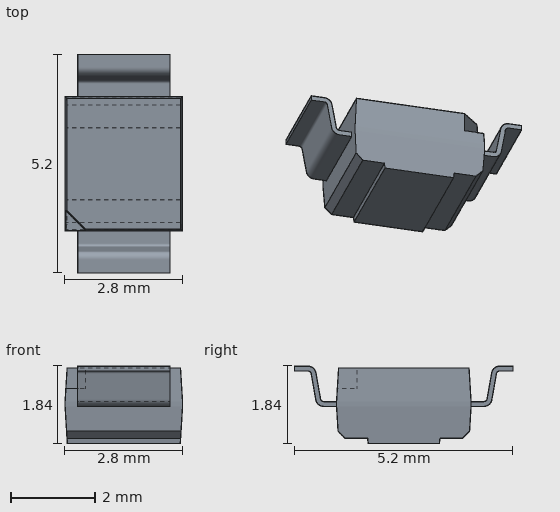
import cadquery as cq
import math

body_x = 2.8
body_y = 3.205
body_top = 1.8
belt_bottom = 0.88
lead_thickness = 0.12
belt_top = belt_bottom + lead_thickness
draft_angle = 3.5
draft_slope = math.tan(math.radians(draft_angle))

step_height = 0.125
foot_half_bottom = 0.85
foot_half_top = 0.865
bevel_start_y = 1.4
bevel_angle = 45

notch_floor = 1.31
notch_end_y = -1.115
notch_overrun = 0.26

lead_span = 5.2
lead_width = 2.2
lead_top = 1.84
shank_lean = 10
shank_mid_y = 2.09
bend_inner_radius = 0.08


def make_body():
    """Belt and drafted halves with the stepped, bevelled underside."""
    belt = cq.Workplane("XY").workplane(offset=belt_bottom).rect(body_x, body_y).extrude(lead_thickness)
    upper = (
        cq.Workplane("XY").workplane(offset=belt_top).rect(body_x, body_y)
        .extrude(body_top - belt_top, taper=draft_angle)
    )
    lower = (
        cq.Workplane("XY").workplane(offset=belt_bottom).rect(body_x, body_y)
        .extrude(-belt_bottom, taper=draft_angle)
    )
    bevel_end_y = body_y / 2
    bevel_end_z = step_height + (bevel_end_y - bevel_start_y) * math.tan(math.radians(bevel_angle))
    right_half = [
        (foot_half_bottom, 0),
        (foot_half_top, step_height),
        (bevel_start_y, step_height),
        (bevel_end_y, bevel_end_z),
        (bevel_end_y, body_top),
    ]
    left_half = [(-y, z) for y, z in reversed(right_half)]
    side_envelope = (
        cq.Workplane("YZ").polyline(right_half + left_half).close()
        .extrude(body_x / 2, both=True)
    )
    return belt.union(upper).union(lower).intersect(side_envelope)


def notch_triangle(z):
    """Corner triangle at height z; its diagonal follows the drafted sides."""
    inset = draft_slope * (z - belt_top)
    diagonal_sum = notch_end_y - body_x / 2 + inset
    corner_x = -body_x / 2 - notch_overrun
    corner_y = -body_y / 2 - notch_overrun
    return [
        (corner_x, corner_y),
        (diagonal_sum - corner_y, corner_y),
        (corner_x, diagonal_sum - corner_x),
    ]


def make_notch():
    """Cutter for the polarity notch."""
    return (
        cq.Workplane("XY").workplane(offset=notch_floor)
        .polyline(notch_triangle(notch_floor)).close()
        .workplane(offset=body_top - notch_floor)
        .polyline(notch_triangle(body_top)).close()
        .loft(ruled=True)
    )


def make_lead():
    """Lead on the +Y side: flat out of the belt, up the leaning shank, flat outward."""
    half = lead_thickness / 2
    low_z = belt_bottom + half
    high_z = lead_top - half
    lean_shift = (high_z - low_z) / 2 * math.tan(math.radians(shank_lean))
    miter_shift = half * math.tan(math.radians((90 - shank_lean) / 2))
    low_y = shank_mid_y - lean_shift
    high_y = shank_mid_y + lean_shift
    root_y = body_y / 4
    tip_y = lead_span / 2

    low_inner = (low_y - miter_shift, belt_top)
    high_outer = (high_y - miter_shift, lead_top)
    high_inner = (high_y + miter_shift, lead_top - lead_thickness)
    low_outer = (low_y + miter_shift, belt_bottom)
    outline = [
        (root_y, belt_top),
        low_inner,
        high_outer,
        (tip_y, lead_top),
        (tip_y, lead_top - lead_thickness),
        high_inner,
        low_outer,
        (root_y, belt_bottom),
    ]
    lead = cq.Workplane("YZ").polyline(outline).close().extrude(lead_width / 2, both=True)

    def bend_edge(corner):
        return cq.selectors.NearestToPointSelector((0, *corner))

    for corner in (low_inner, high_inner):
        lead = lead.edges(bend_edge(corner)).fillet(bend_inner_radius)
    for corner in (high_outer, low_outer):
        lead = lead.edges(bend_edge(corner)).fillet(bend_inner_radius + lead_thickness)
    return lead


lead = make_lead()
result = make_body().cut(make_notch()).union(lead).union(lead.mirror("XZ"))